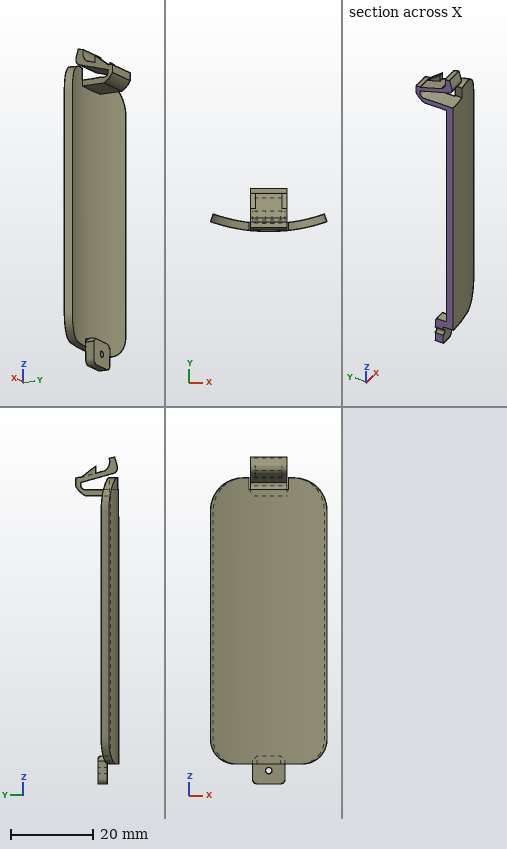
import cadquery as cq

PLATE_WIDTH = 28.4
PLATE_HEIGHT = 69.7
PLATE_THICKNESS = 2.0
PLATE_SAGITTA = 2.45
TOP_CORNER_RADIUS = 8.0
BOTTOM_CORNER_RADIUS = 6.0
HALF_WIDTH = PLATE_WIDTH / 2
PLATE_TOP = PLATE_HEIGHT / 2
PLATE_BOTTOM = -PLATE_HEIGHT / 2
OUTER_RADIUS = (HALF_WIDTH**2 + PLATE_SAGITTA**2) / (2 * PLATE_SAGITTA)

NOTCH_WIDTH = 9.5
NOTCH_DEPTH = 2.9
NOTCH_FLOOR = PLATE_TOP - NOTCH_DEPTH

CLIP_WIDTH = 9.0
CLIP_BACK = 10.52
LEG_THICKNESS = 1.5
LEG_START = PLATE_THICKNESS / 2
UPRIGHT_THICKNESS = 1.25
UPRIGHT_FRONT = CLIP_BACK - UPRIGHT_THICKNESS
UPRIGHT_TOP = PLATE_TOP + 0.15
UPRIGHT_FLAT_LENGTH = 0.35
UPRIGHT_TOP_DROP = 0.2
BEND_RADIUS = 2.35
BEND_BULGE = 1.0
INNER_BEND_RADIUS = 1.1

ARM_ROOT_LOWER = (UPRIGHT_FRONT, PLATE_TOP - 1.2)
ARM_ROOT_UPPER = (UPRIGHT_FRONT, PLATE_TOP + 0.05)
ARM_UNDERSIDE_END = (1.3, PLATE_TOP + 1.05)
NOSE_ARC_MIDDLE = (0.62, PLATE_TOP + 1.5)
NOSE_ARC_END = (0.37, PLATE_TOP + 2.25)
PAD_FRONT_LOWER = (0.37, PLATE_TOP + 2.8)
PAD_FRONT_UPPER = (1.0, PLATE_TOP + 5.05)
PAD_BACK_UPPER = (2.4, PLATE_TOP + 4.75)
PAD_ARC_MIDDLE = (2.42, PLATE_TOP + 3.0)
PAD_ARC_END = (3.3, PLATE_TOP + 1.78)

BARB_WIDTH = 1.3
BARB_LENGTH = 3.65
BARB_TIP_TOP = PLATE_TOP + 2.85
BARB_TIP_BOTTOM = PLATE_TOP + 0.8
BARB_ROOT_BOTTOM = PLATE_TOP - 0.4

TAB_WIDTH = 8.0
TAB_FRONT = 2.8
TAB_THICKNESS = 2.3
TAB_DROP = 4.9
TAB_RISE = 2.0
TAB_CORNER_RADIUS = 1.3
TAB_TOP_CHAMFER = 1.2
TAB_BACK_FILLET = 0.9
TAB_HOLE_DIAMETER = 1.5
TAB_HOLE_DROP = 1.6
TAB_BACK = TAB_FRONT + TAB_THICKNESS


def box(width, y_range, z_range):
    """Block centred on X = 0 between the given Y and Z limits."""
    y_min, y_max = y_range
    z_min, z_max = z_range
    return (
        cq.Workplane("XY")
        .box(width, y_max - y_min, z_max - z_min, centered=(True, False, False))
        .translate((0, y_min, z_min))
    )


def make_plate():
    """Thicken the rounded outline, wrapped on the outer cylinder, square to its surface."""
    blank = box(PLATE_WIDTH, (-PLATE_SAGITTA, 2 * PLATE_SAGITTA), (PLATE_BOTTOM, PLATE_TOP))
    blank = blank.edges("|Y and >Z").fillet(TOP_CORNER_RADIUS)
    blank = blank.edges("|Y and <Z").fillet(BOTTOM_CORNER_RADIUS)
    cylinder = (
        cq.Workplane("XY")
        .center(0, OUTER_RADIUS)
        .circle(OUTER_RADIUS)
        .extrude(PLATE_HEIGHT, both=True)
    )
    outer_face = blank.intersect(cylinder).faces("%CYLINDER").faces("<Y").val()
    return cq.Workplane(obj=outer_face.thicken(-PLATE_THICKNESS))


def side_profile(start):
    """Start a profile on the YZ plane at a (Y, Z) point."""
    return cq.Workplane("YZ").moveTo(*start)


def make_hook():
    """Leg, bend and upright of the spring clip."""
    leg_bottom = NOTCH_FLOOR - LEG_THICKNESS
    hook = (
        side_profile((LEG_START, NOTCH_FLOOR))
        .lineTo(UPRIGHT_FRONT - INNER_BEND_RADIUS, NOTCH_FLOOR)
        .radiusArc((UPRIGHT_FRONT, NOTCH_FLOOR + INNER_BEND_RADIUS), -INNER_BEND_RADIUS)
        .lineTo(UPRIGHT_FRONT, UPRIGHT_TOP)
        .lineTo(UPRIGHT_FRONT + UPRIGHT_FLAT_LENGTH, UPRIGHT_TOP)
        .lineTo(CLIP_BACK, UPRIGHT_TOP - UPRIGHT_TOP_DROP)
        .lineTo(CLIP_BACK, leg_bottom + BEND_RADIUS)
        .threePointArc(
            (CLIP_BACK - BEND_BULGE, leg_bottom + BEND_BULGE),
            (CLIP_BACK - BEND_RADIUS, leg_bottom),
        )
        .lineTo(LEG_START, leg_bottom)
        .close()
    )
    return hook.extrude(CLIP_WIDTH / 2, both=True)


def make_arm():
    """Latch arm with a rounded nose below and a curved finger pad above."""
    arm = (
        side_profile(ARM_ROOT_LOWER)
        .lineTo(*ARM_UNDERSIDE_END)
        .threePointArc(NOSE_ARC_MIDDLE, NOSE_ARC_END)
        .lineTo(*PAD_FRONT_LOWER)
        .lineTo(*PAD_FRONT_UPPER)
        .lineTo(*PAD_BACK_UPPER)
        .threePointArc(PAD_ARC_MIDDLE, PAD_ARC_END)
        .lineTo(*ARM_ROOT_UPPER)
        .close()
    )
    return arm.extrude(CLIP_WIDTH / 2, both=True)


def make_barbs():
    """Wedge-shaped barbs, flush with the two side faces of the arm and sunk into it."""
    tip_y = UPRIGHT_FRONT - BARB_LENGTH
    barb = (
        side_profile(ARM_ROOT_UPPER)
        .lineTo(tip_y, BARB_TIP_TOP)
        .lineTo(tip_y, BARB_TIP_BOTTOM)
        .lineTo(UPRIGHT_FRONT, BARB_ROOT_BOTTOM)
        .close()
        .extrude(BARB_WIDTH)
        .translate((CLIP_WIDTH / 2 - BARB_WIDTH, 0, 0))
    )
    return barb.union(barb.mirror("YZ"))


def make_tab():
    """Drilled tab below the plate, joined to the back of the plate by a short root."""
    top = PLATE_BOTTOM + TAB_RISE
    tab = box(TAB_WIDTH, (TAB_FRONT, TAB_BACK), (PLATE_BOTTOM - TAB_DROP, top))
    tab = tab.edges("|Y and <Z").fillet(TAB_CORNER_RADIUS)
    tab = tab.edges("|Y and >Z").chamfer(TAB_TOP_CHAMFER)
    tab = tab.edges("|X and >Z and >Y").fillet(TAB_BACK_FILLET)
    root_width = TAB_WIDTH - 2 * TAB_TOP_CHAMFER
    root = box(root_width, (PLATE_THICKNESS / 2, TAB_FRONT), (PLATE_BOTTOM, top))
    hole = (
        cq.Workplane("XZ")
        .center(0, PLATE_BOTTOM - TAB_HOLE_DROP)
        .circle(TAB_HOLE_DIAMETER / 2)
        .extrude(-2 * TAB_BACK)
    )
    return tab.union(root).cut(hole)


notch = box(NOTCH_WIDTH, (-PLATE_SAGITTA, 2 * PLATE_SAGITTA), (NOTCH_FLOOR, PLATE_TOP))
plate = make_plate().cut(notch)
clip = make_hook().union(make_arm()).union(make_barbs())
result = plate.union(clip).union(make_tab())